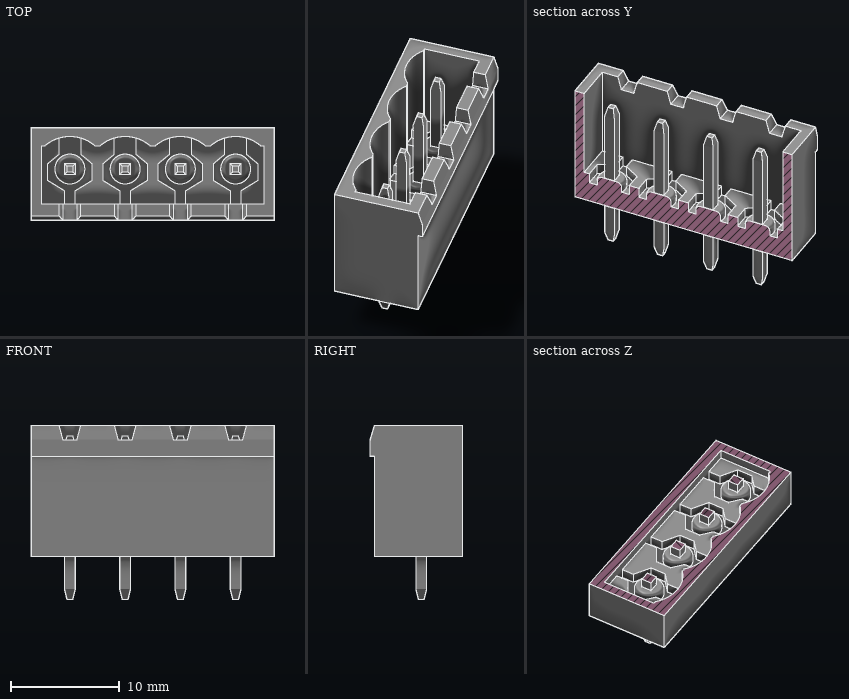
import cadquery as cq
import math


housing_length = 22.32
housing_height = 12.05
back_y = 3.8
front_y = -4.3

pin_count = 4
end_pin_offset = 3.55
pitch = (housing_length - 2 * end_pin_offset) / (pin_count - 1)
pin_xs = [end_pin_offset - housing_length / 2 + i * pitch for i in range(pin_count)]

lip_overhang = 0.4
lip_height = 2.83
lip_bevel_height = 1.35

end_wall = 0.95
front_wall = 1.12
cavity_depth = 8.93
cavity_front_y = front_y + front_wall
cavity_back_y = 2.1
scallop_chord = 4.69
scallop_rise = 0.9
floor_z = housing_height - cavity_depth

notch_top_width = 1.99
notch_depth = lip_bevel_height
notch_taper = 15.0

recess_depth = 1.0
recess_width = 4.1
recess_side_front_y = -1.05
recess_side_back_y = 0.47
recess_neck_width = 0.95
recess_neck_y = -2.0
recess_slot_width = 2.03
recess_slot_y = 1.35

boss_diameter = 2.75
boss_top_diameter = 1.79
boss_round = (boss_diameter - boss_top_diameter) / 2

pin_width = 1.0
pin_tip_width = 0.54
pin_tip_length = 0.94
pin_bottom_z = -3.95
pin_top_setback = 0.98
pin_top_z = housing_height - pin_top_setback


def make_shell():
    """Housing block with the bevelled lip, extruded along X from its side profile."""
    lip_y = front_y - lip_overhang
    return (
        cq.Workplane("YZ")
        .moveTo(back_y, 0)
        .lineTo(front_y, 0)
        .lineTo(front_y, housing_height - lip_height)
        .lineTo(lip_y, housing_height - lip_height)
        .lineTo(lip_y, housing_height - lip_bevel_height)
        .lineTo(front_y, housing_height)
        .lineTo(back_y, housing_height)
        .close()
        .extrude(housing_length / 2, both=True)
    )


def make_cavity(bottom_z):
    """Space inside the walls from bottom_z to the top, with one scallop in the back per pin."""
    half_length = housing_length / 2 - end_wall
    outline = (
        cq.Workplane("XY", origin=(0, 0, bottom_z))
        .moveTo(half_length, cavity_front_y)
        .lineTo(-half_length, cavity_front_y)
        .lineTo(-half_length, cavity_back_y)
    )
    for x in pin_xs:
        outline = outline.lineTo(x - scallop_chord / 2, cavity_back_y).threePointArc(
            (x, cavity_back_y + scallop_rise), (x + scallop_chord / 2, cavity_back_y)
        )
    outline = outline.lineTo(half_length, cavity_back_y).close()
    return outline.extrude(housing_height - bottom_z)


def make_notch(x):
    """Tapered notch through the front wall and the lip."""
    half_top = notch_top_width / 2
    half_floor = half_top - notch_depth * math.tan(math.radians(notch_taper))
    notch_floor_z = housing_height - notch_depth
    return (
        cq.Workplane("XZ", origin=(x, cavity_front_y, 0))
        .moveTo(-half_top, housing_height)
        .lineTo(-half_floor, notch_floor_z)
        .lineTo(half_floor, notch_floor_z)
        .lineTo(half_top, housing_height)
        .close()
        .extrude(front_wall + lip_overhang)
    )


def make_recess(x):
    """Keyhole recess below the cavity floor, reaching from the front wall to the back wall."""
    right_side = [
        (recess_neck_width / 2, cavity_front_y),
        (recess_neck_width / 2, recess_neck_y),
        (recess_width / 2, recess_side_front_y),
        (recess_width / 2, recess_side_back_y),
        (recess_slot_width / 2, recess_slot_y),
        (recess_slot_width / 2, back_y),
    ]
    left_side = [(-px, py) for px, py in reversed(right_side)]
    return (
        cq.Workplane("XY", origin=(x, 0, floor_z - recess_depth))
        .polyline(right_side + left_side)
        .close()
        .extrude(recess_depth)
    )


def make_boss(x):
    """Round boss standing in the recess, with its top edge rounded."""
    return (
        cq.Workplane("XY", origin=(x, 0, floor_z - recess_depth))
        .circle(boss_diameter / 2)
        .extrude(recess_depth)
        .faces(">Z")
        .edges()
        .fillet(boss_round)
    )


def make_pin_hole(x):
    """Square hole through the floor and the boss that the pin fills."""
    return cq.Workplane("XY", origin=(x, 0, 0)).rect(pin_width, pin_width).extrude(floor_z)


def make_housing():
    body = make_shell().cut(make_cavity(floor_z))
    recess_limit = make_cavity(floor_z - recess_depth)
    for x in pin_xs:
        body = body.cut(make_notch(x))
        body = body.cut(make_recess(x).intersect(recess_limit))
        body = body.union(make_boss(x))
        body = body.cut(make_pin_hole(x))
    return body


def make_pin(x):
    """Square pin with a tapered tip at both ends."""
    shank_bottom_z = pin_bottom_z + pin_tip_length
    shank_top_z = pin_top_z - pin_tip_length
    shank = (
        cq.Workplane("XY", origin=(x, 0, shank_bottom_z))
        .rect(pin_width, pin_width)
        .extrude(shank_top_z - shank_bottom_z)
    )
    return shank.union(make_pin_tip(x, shank_top_z, 1)).union(make_pin_tip(x, shank_bottom_z, -1))


def make_pin_tip(x, base_z, direction):
    """Pyramid-shaped pin tip, pointing up for direction 1 and down for -1."""
    return (
        cq.Workplane("XY", origin=(x, 0, base_z))
        .rect(pin_width, pin_width)
        .workplane(offset=direction * pin_tip_length)
        .rect(pin_tip_width, pin_tip_width)
        .loft(ruled=True)
    )


housing = make_housing()
pins = [make_pin(x) for x in pin_xs]

result = cq.Compound.makeCompound([housing.val(), *[pin.val() for pin in pins]])